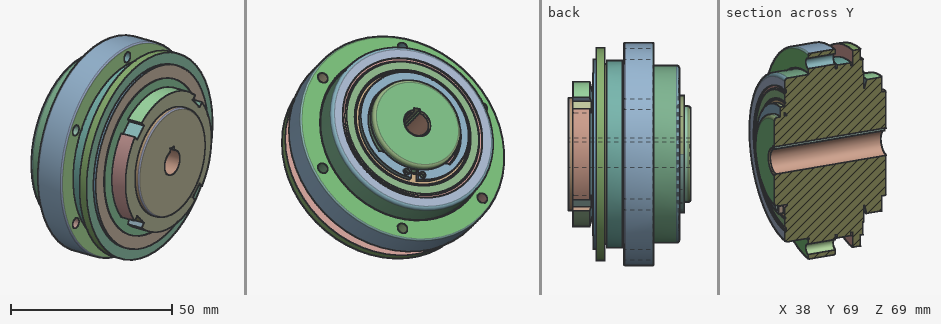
import cadquery as cq

retaining_ring_front = 2.0
drum_front = 3.5
flange_front = 11.45
flange_back = 20.8
rim_front = 21.25
rim_back = 26.1
disc_front = 26.6
disc_back = 29.3
pilot_back = 30.2
nut_front = 30.4
nut_cone_end = 31.3
nut_back = 36.6
overall_length = 38.0

hub_diameter = 29.8
hub_shoulder_diameter = 30.0
retaining_ring_diameter = 36.3
drum_diameter = 55.0
flange_diameter = 69.0
neck_diameter = 55.8
rim_diameter = 58.0
disc_diameter = 66.0
pilot_diameter = 58.8
collar_diameter = 50.2
nut_cone_diameter = 38.2
nut_diameter = 45.0
shaft_end_diameter = 35.0

front_round = 1.05
flange_round = 0.5
shaft_end_round = 0.4

bore_diameter = 8.0
bore_chamfer = 0.5
keyway_width = 2.0
keyway_top = 5.05

opening_radius = 15.65
opening_offset = 0.8
lug_flat_z = -10.9
lug_gap_width = 2.35
plier_hole_diameter = 2.0
plier_hole_y = 2.7
plier_hole_z = -16.3

seat_chamfer_diameter = 31.75
inner_groove_outer = 39.25
inner_groove_inner = 38.2
shield_groove_outer = 47.1
shield_groove_edge = 44.6
shield_groove_floor = 45.4
drum_seat_diameter = 55.8

bolt_hole_count = 6
bolt_circle_radius = 31.05
bolt_hole_diameter = 3.3

slot_count = 4
slot_width = 5.0
slot_floor_radius = 20.55


def cylinder(diameter, start, end):
    """Solid cylinder on the X axis between two stations."""
    return cq.Workplane("YZ", origin=(start, 0, 0)).circle(diameter / 2).extrude(end - start)


def revolved(points):
    """Turn a closed outline of (station, diameter) points about the X axis."""
    outline = [(station, diameter / 2) for station, diameter in points]
    return cq.Workplane("XY").polyline(outline).close().revolve(360, (0, 0, 0), (1, 0, 0))


def make_retaining_ring():
    blank = cylinder(retaining_ring_diameter, retaining_ring_front, drum_front)
    thickness = drum_front - retaining_ring_front
    plane = cq.Workplane("YZ", origin=(retaining_ring_front, 0, 0))

    opening = plane.center(0, -opening_offset).circle(opening_radius).extrude(thickness)
    above_lugs = (
        plane.center(0, lug_flat_z + retaining_ring_diameter / 2)
        .rect(retaining_ring_diameter, retaining_ring_diameter)
        .extrude(thickness)
    )
    gap = (
        plane.center(0, -retaining_ring_diameter / 2)
        .rect(lug_gap_width, retaining_ring_diameter)
        .extrude(thickness)
    )
    plier_holes = (
        plane.pushPoints([(-plier_hole_y, plier_hole_z), (plier_hole_y, plier_hole_z)])
        .circle(plier_hole_diameter / 2)
        .extrude(thickness)
    )
    return blank.cut(opening.intersect(above_lugs)).cut(gap).cut(plier_holes)


def make_housing():
    """Drum, flange, rim and disc, with the grooves of the front faces."""
    drum = cylinder(drum_diameter, drum_front, flange_back).faces("<X").edges().fillet(front_round)
    flange = cylinder(flange_diameter, flange_front, flange_back).edges().fillet(flange_round)
    seat_depth = (drum_seat_diameter - drum_diameter) / 2
    drum_seat = revolved([
        (flange_front, drum_diameter),
        (flange_front, drum_seat_diameter),
        (flange_front + seat_depth, drum_diameter),
    ])
    neck = cylinder(neck_diameter, flange_back, disc_front)
    rim = cylinder(rim_diameter, rim_front, rim_back)
    disc = cylinder(disc_diameter, disc_front, disc_back)
    pilot = cylinder(pilot_diameter, disc_back, pilot_back)
    collar = cylinder(collar_diameter, pilot_back, nut_front)
    housing = flange.cut(drum_seat).union(drum).union(neck).union(rim)
    housing = housing.union(disc).union(pilot).union(collar)

    seat_chamfer = revolved([
        (drum_front, hub_shoulder_diameter),
        (drum_front, seat_chamfer_diameter),
        (drum_front + (seat_chamfer_diameter - hub_shoulder_diameter) / 2, hub_shoulder_diameter),
    ])
    inner_groove = revolved([
        (drum_front, inner_groove_inner),
        (drum_front, inner_groove_outer),
        (drum_front + (inner_groove_outer - inner_groove_inner) / 2, inner_groove_inner),
    ])
    shield_depth = (shield_groove_floor - shield_groove_edge) / 2
    shield_groove = revolved([
        (drum_front, shield_groove_edge),
        (drum_front, shield_groove_outer),
        (drum_front + shield_depth, shield_groove_outer),
        (drum_front + shield_depth, shield_groove_floor),
    ])
    return housing.cut(seat_chamfer).cut(inner_groove).cut(shield_groove)


def make_bolt_holes():
    return (
        cq.Workplane("YZ", origin=(flange_front, 0, 0))
        .polarArray(bolt_circle_radius, 90, 360, bolt_hole_count)
        .circle(bolt_hole_diameter / 2)
        .extrude(flange_back - flange_front)
    )


def make_nut():
    nut = revolved([
        (nut_front, 0),
        (nut_front, nut_cone_diameter),
        (nut_cone_end, nut_diameter),
        (nut_back, nut_diameter),
        (nut_back, 0),
    ])
    slot_depth = nut_diameter / 2
    slots = (
        cq.Workplane("YZ", origin=(nut_front, 0, 0))
        .polarArray(slot_floor_radius + slot_depth / 2, 45, 360, slot_count)
        .rect(slot_depth, slot_width)
        .extrude(nut_back - nut_front)
    )
    return nut.cut(slots)


def make_bore():
    mouth_diameter = bore_diameter + 2 * bore_chamfer
    bore = cylinder(bore_diameter, 0, overall_length)
    mouth = revolved([(0, 0), (0, mouth_diameter), (bore_chamfer, bore_diameter), (bore_chamfer, 0)])
    keyway = (
        cq.Workplane("YZ")
        .center(0, keyway_top / 2)
        .rect(keyway_width, keyway_top)
        .extrude(overall_length)
    )
    return bore.union(mouth).union(keyway)


hub = cylinder(hub_diameter, 0, nut_front).faces("<X").edges().fillet(front_round)
hub_shoulder = cylinder(hub_shoulder_diameter, retaining_ring_front, nut_front)
shaft_end = cylinder(shaft_end_diameter, nut_back, overall_length)
shaft_end = shaft_end.faces(">X").edges().fillet(shaft_end_round)

result = make_housing().cut(make_bolt_holes())
result = result.union(make_retaining_ring()).union(hub).union(hub_shoulder)
result = result.union(make_nut()).union(shaft_end).cut(make_bore())